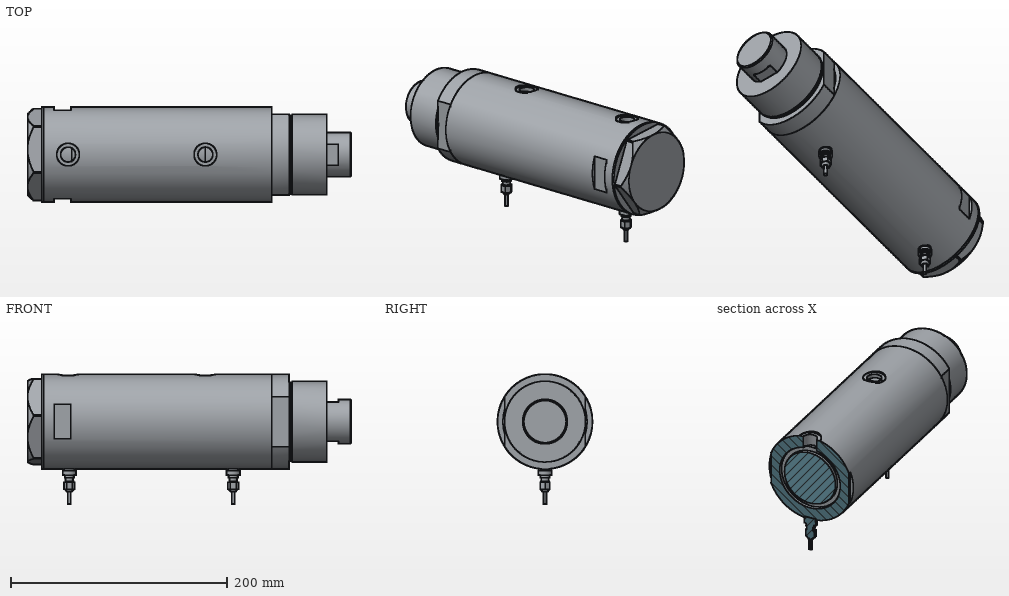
import cadquery as cq
import math


TOTAL_LENGTH = 299.5
HEX_END = 13.0
BARREL_START = 15.0
PISTON_START = 40.7
HEAD_SLEEVE_START = 164.5
BARREL_END = 225.8
HEAD_END = 242.0
COLLAR_START = 244.7
COLLAR_END = 276.7

OUTER_RADIUS = 44.0
BORE_RADIUS = 31.5
HEAD_SLEEVE_RADIUS = 39.0
CAP_BOSS_RADIUS = 27.0
ROD_RADIUS = 25.5
COLLAR_RADIUS = 37.5
NECK_RADIUS = 36.5
NECK_GROOVE_RADIUS = 35.5
ROD_END_RADIUS = 20.7

HEX_ACROSS_FLATS = 75.0
HEX_CORNER_RADIUS = 42.8
HEX_CHAMFER = HEX_CORNER_RADIUS - HEX_ACROSS_FLATS / 2
HEX_TURN = 7.5

BARREL_FLAT_START = 24.5
BARREL_FLAT_LENGTH = 15.5
BARREL_FLAT_DISTANCE = 41.0
HEAD_FLAT_DISTANCE = 37.5
ROD_END_FLAT_LENGTH = 10.8
ROD_END_FLAT_DISTANCE = 18.3

PISTON_LENGTH = 30.0
ROD_END_CHAMFER = 1.2

PORT_POSITIONS = (37.5, HEAD_SLEEVE_START)
PORT_RADIUS = 7.0
PORT_FACE_RADIUS = 10.5
PORT_FACE_DEPTH = 1.5

SENSOR_POSITIONS = (38.5, 190.2)
SEAT_DEPTH = 1.5
SEAT_Z = -(OUTER_RADIUS - SEAT_DEPTH)
SEAT_RADIUS = 6.0
SENSOR_STEPS = (
    (SEAT_RADIUS, SEAT_DEPTH + 1.2),
    (6.3, 4.2),
    (4.5, 2.5),
    (3.5, 3.3),
    (4.0, 1.0),
)
SENSOR_NUT_ACROSS_FLATS = 9.0
SENSOR_NUT_HEIGHT = 6.5
SENSOR_CONE_RADIUS = 4.2
SENSOR_CONE_TIP_RADIUS = 2.0
SENSOR_CONE_HEIGHT = 2.5
CABLE_RADIUS = 1.5
LOWEST_Z = -76.5


def cylinder(start, end, radius):
    """Solid cylinder on the X axis between two positions."""
    return cq.Workplane("YZ", origin=(start, 0, 0)).circle(radius).extrude(end - start)


def hexagon_diameter(across_flats):
    return across_flats / math.cos(math.radians(30))


def cut_flats(body, start, end, distance, normal_axis):
    """Cut two opposite wrench flats at the given distance from the X axis."""
    size = 2 * OUTER_RADIUS
    for side in (-1, 1):
        offset = side * (distance + size / 2)
        middle = (start + end) / 2
        center = (middle, offset, 0) if normal_axis == "Y" else (middle, 0, offset)
        body = body.cut(cq.Workplane("XY", origin=center).box(end - start, size, size))
    return body


def make_cap():
    """Hexagon with chamfered corners, a round flange and a boss inside the barrel."""
    hexagon = (
        cq.Workplane("YZ")
        .polygon(6, hexagon_diameter(HEX_ACROSS_FLATS))
        .extrude(HEX_END)
        .rotate((0, 0, 0), (1, 0, 0), -HEX_TURN)
    )
    corner_limit = cylinder(0, HEX_END, HEX_CORNER_RADIUS).faces("<X").chamfer(HEX_CHAMFER)
    flange = cylinder(HEX_END, BARREL_START, OUTER_RADIUS)
    boss = cylinder(BARREL_START, PISTON_START, CAP_BOSS_RADIUS)
    return hexagon.intersect(corner_limit).union(flange).union(boss)


def make_barrel():
    """Tube with a counterbore for the head sleeve, wrench flats, ports on top and sensor seats below."""
    barrel = cylinder(BARREL_START, BARREL_END, OUTER_RADIUS)
    barrel = barrel.cut(cylinder(BARREL_START, BARREL_END, BORE_RADIUS))
    barrel = barrel.cut(cylinder(HEAD_SLEEVE_START, BARREL_END, HEAD_SLEEVE_RADIUS))
    flat_end = BARREL_FLAT_START + BARREL_FLAT_LENGTH
    barrel = cut_flats(barrel, BARREL_FLAT_START, flat_end, BARREL_FLAT_DISTANCE, "Y")

    for x in PORT_POSITIONS:
        port = cq.Workplane("XY", origin=(x, 0, 0)).circle(PORT_RADIUS).extrude(OUTER_RADIUS)
        face_plane = cq.Workplane("XY", origin=(x, 0, OUTER_RADIUS - PORT_FACE_DEPTH))
        spot_face = face_plane.circle(PORT_FACE_RADIUS).extrude(PORT_FACE_DEPTH)
        barrel = barrel.cut(port).cut(spot_face)

    for x in SENSOR_POSITIONS:
        seat = cq.Workplane("XY", origin=(x, 0, SEAT_Z)).circle(SEAT_RADIUS).extrude(-SEAT_DEPTH)
        barrel = barrel.cut(seat)
    return barrel


def make_head():
    """Flanged end piece with wrench flats and a sleeve that guides the rod."""
    flange = cylinder(BARREL_END, HEAD_END, OUTER_RADIUS)
    flange = cut_flats(flange, BARREL_END, HEAD_END, HEAD_FLAT_DISTANCE, "Y")
    sleeve = cylinder(HEAD_SLEEVE_START, BARREL_END, HEAD_SLEEVE_RADIUS)
    return flange.union(sleeve).cut(cylinder(HEAD_SLEEVE_START, HEAD_END, ROD_RADIUS))


def make_neck():
    """Short neck of the ram with a shallow groove over its middle third."""
    third = (COLLAR_START - HEAD_END) / 3
    core = cylinder(HEAD_END, COLLAR_START, NECK_GROOVE_RADIUS)
    head_side = cylinder(HEAD_END, HEAD_END + third, NECK_RADIUS)
    collar_side = cylinder(COLLAR_START - third, COLLAR_START, NECK_RADIUS)
    return core.union(head_side).union(collar_side)


def make_ram():
    """Piston, rod, grooved neck, outer collar and a chamfered rod end with wrench flats."""
    piston_end = PISTON_START + PISTON_LENGTH
    piston = cylinder(PISTON_START, piston_end, BORE_RADIUS)
    rod = cylinder(piston_end, HEAD_END, ROD_RADIUS)
    neck = make_neck()
    collar = cylinder(COLLAR_START, COLLAR_END, COLLAR_RADIUS)
    rod_end = cylinder(COLLAR_END, TOTAL_LENGTH, ROD_END_RADIUS).faces(">X").chamfer(ROD_END_CHAMFER)
    flat_end = COLLAR_END + ROD_END_FLAT_LENGTH
    rod_end = cut_flats(rod_end, COLLAR_END, flat_end, ROD_END_FLAT_DISTANCE, "Z")
    return piston.union(rod).union(neck).union(collar).union(rod_end)


def make_sensor(x):
    """Stepped round body, hexagonal nut, tapered end and cable, stacked downward."""
    def level(height):
        return cq.Workplane("XY", origin=(x, 0, height))

    radius, length = SENSOR_STEPS[0]
    z = SEAT_Z
    sensor = level(z).circle(radius).extrude(-length)
    z -= length
    for radius, length in SENSOR_STEPS[1:]:
        sensor = sensor.union(level(z).circle(radius).extrude(-length))
        z -= length

    nut = level(z).polygon(6, hexagon_diameter(SENSOR_NUT_ACROSS_FLATS)).extrude(-SENSOR_NUT_HEIGHT)
    z -= SENSOR_NUT_HEIGHT
    cone = (
        level(z)
        .circle(SENSOR_CONE_RADIUS)
        .workplane(offset=-SENSOR_CONE_HEIGHT)
        .circle(SENSOR_CONE_TIP_RADIUS)
        .loft()
    )
    z -= SENSOR_CONE_HEIGHT
    cable = level(z).circle(CABLE_RADIUS).extrude(LOWEST_Z - z)
    return sensor.union(nut).union(cone).union(cable)


cap = make_cap()
barrel = make_barrel()
head = make_head()
ram = make_ram()
sensors = [make_sensor(x) for x in SENSOR_POSITIONS]

result = cq.Compound.makeCompound(
    [cap.val(), barrel.val(), head.val(), ram.val(), *[sensor.val() for sensor in sensors]]
)